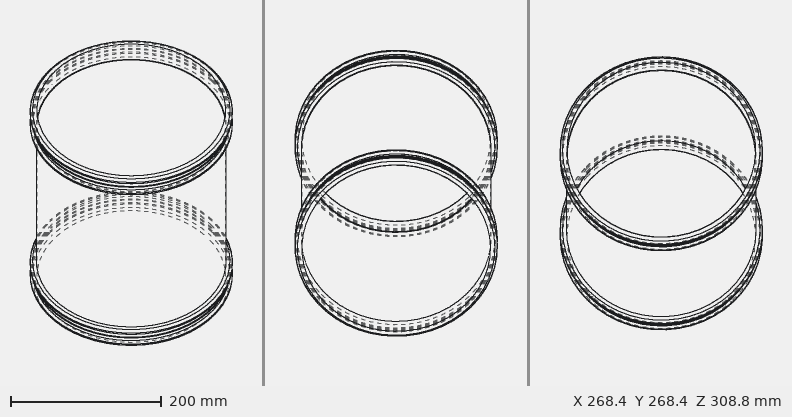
import cadquery as cq

BORE_DIAMETER = 250.0
TUBE_WALL = 0.9
TUBE_LENGTH = 250.0
RING_HEIGHT = 29.4
RING_BODY_DIAMETER = 261.8
LIP_DIAMETER = 268.4
LIP_LAND = 2.4
RIB_BASE_WIDTH = 1.2
RIB_PROJECTION = 0.9

bore_radius = BORE_DIAMETER / 2
tube_radius = bore_radius + TUBE_WALL
ring_radius = RING_BODY_DIAMETER / 2
lip_radius = LIP_DIAMETER / 2
rib_radius = ring_radius + RIB_PROJECTION
lip_chamfer = lip_radius - ring_radius
lip_height = LIP_LAND + 2 * lip_chamfer
half_tube = TUBE_LENGTH / 2


def annulus(outer_radius, height, base_z):
    """Plain cylindrical shell around the common bore, standing on base_z."""
    return (
        cq.Workplane("XY", origin=(0, 0, base_z))
        .circle(outer_radius)
        .circle(bore_radius)
        .extrude(height)
    )


def lip(base_z):
    """Annular lip with a straight band and a 45 degree flank on each side."""
    top_z = base_z + lip_height
    return (
        cq.Workplane("XZ")
        .moveTo(bore_radius, base_z)
        .lineTo(ring_radius, base_z)
        .lineTo(lip_radius, base_z + lip_chamfer)
        .lineTo(lip_radius, top_z - lip_chamfer)
        .lineTo(ring_radius, top_z)
        .lineTo(bore_radius, top_z)
        .close()
        .revolve(360, (0, 0, 0), (0, 1, 0))
    )


def groove_rib(crest_z):
    """Sharp-crested rib, rooted in the ring wall, that rises from the groove floor."""
    return (
        cq.Workplane("XZ")
        .moveTo(bore_radius, crest_z - RIB_BASE_WIDTH / 2)
        .lineTo(ring_radius, crest_z - RIB_BASE_WIDTH / 2)
        .lineTo(rib_radius, crest_z)
        .lineTo(ring_radius, crest_z + RIB_BASE_WIDTH / 2)
        .lineTo(bore_radius, crest_z + RIB_BASE_WIDTH / 2)
        .close()
        .revolve(360, (0, 0, 0), (0, 1, 0))
    )


def grooved_ring(base_z):
    """End ring: two lips with a groove between them and a small rib around the groove floor."""
    ring = annulus(ring_radius, RING_HEIGHT, base_z)
    ring = ring.union(groove_rib(base_z + RING_HEIGHT / 2))
    for lip_base_z in (base_z, base_z + RING_HEIGHT - lip_height):
        ring = ring.union(lip(lip_base_z))
    return ring


pipe = annulus(tube_radius, TUBE_LENGTH, -half_tube)
pipe = pipe.union(grooved_ring(-half_tube - RING_HEIGHT))

end_collar = grooved_ring(half_tube)

result = cq.Compound.makeCompound([pipe.val(), end_collar.val()])